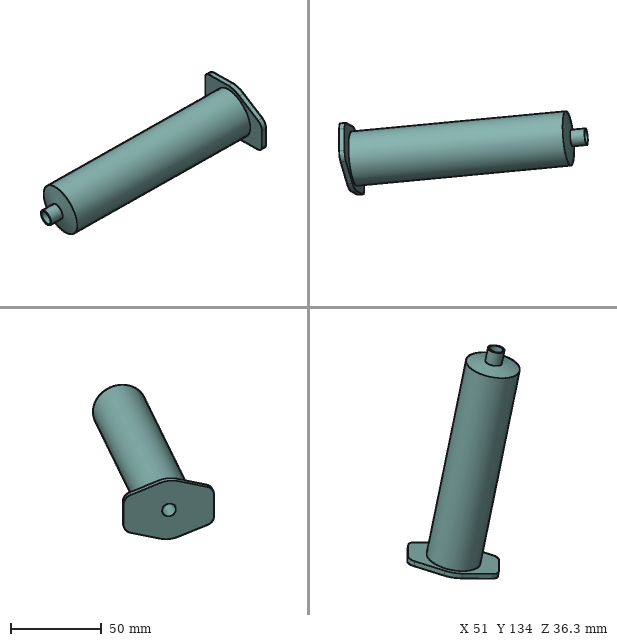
import cadquery as cq
import math

total_length = 134.0
flange_thickness = 3.1
nozzle_length = 8.0
shoulder_length = 2.0

barrel_radius = 15.1
nozzle_radius = 4.7
bore_radius = 3.9

flange_width = 51.0
flange_height = 36.3
corner_radius = 5.4
crown_radius = 16.1
slope_angle = math.radians(18.4)

barrel_start = nozzle_length + shoulder_length
flange_start = total_length - flange_thickness


def flange_plate():
    """Flange plate at the +Y end of the barrel."""
    half_width = flange_width / 2
    half_height = flange_height / 2
    crown_center_z = half_height - crown_radius
    tangent_x = crown_radius * math.sin(slope_angle)
    tangent_z = crown_center_z + crown_radius * math.cos(slope_angle)
    side_z = tangent_z - (half_width - tangent_x) * math.tan(slope_angle)
    outline = (
        cq.Workplane("XZ", origin=(0, total_length, 0))
        .moveTo(-tangent_x, tangent_z)
        .threePointArc((0, half_height), (tangent_x, tangent_z))
        .lineTo(half_width, side_z)
        .lineTo(half_width, -side_z)
        .lineTo(tangent_x, -tangent_z)
        .threePointArc((0, -half_height), (-tangent_x, -tangent_z))
        .lineTo(-half_width, -side_z)
        .lineTo(-half_width, side_z)
        .close()
    )
    plate = outline.extrude(flange_thickness)
    return plate.faces("<X or >X").edges("|Y").fillet(corner_radius)


def barrel_body():
    """Barrel, conical shoulder and nozzle, revolved about the Y axis."""
    return (
        cq.Workplane("XY")
        .polyline([
            (0, 0),
            (nozzle_radius, 0),
            (nozzle_radius, nozzle_length),
            (barrel_radius, barrel_start),
            (barrel_radius, flange_start),
            (0, flange_start),
        ])
        .close()
        .revolve(360, (0, 0, 0), (0, 1, 0))
    )


bore = cq.Workplane("XZ", origin=(0, total_length, 0)).circle(bore_radius).extrude(total_length)

result = barrel_body().union(flange_plate()).cut(bore)